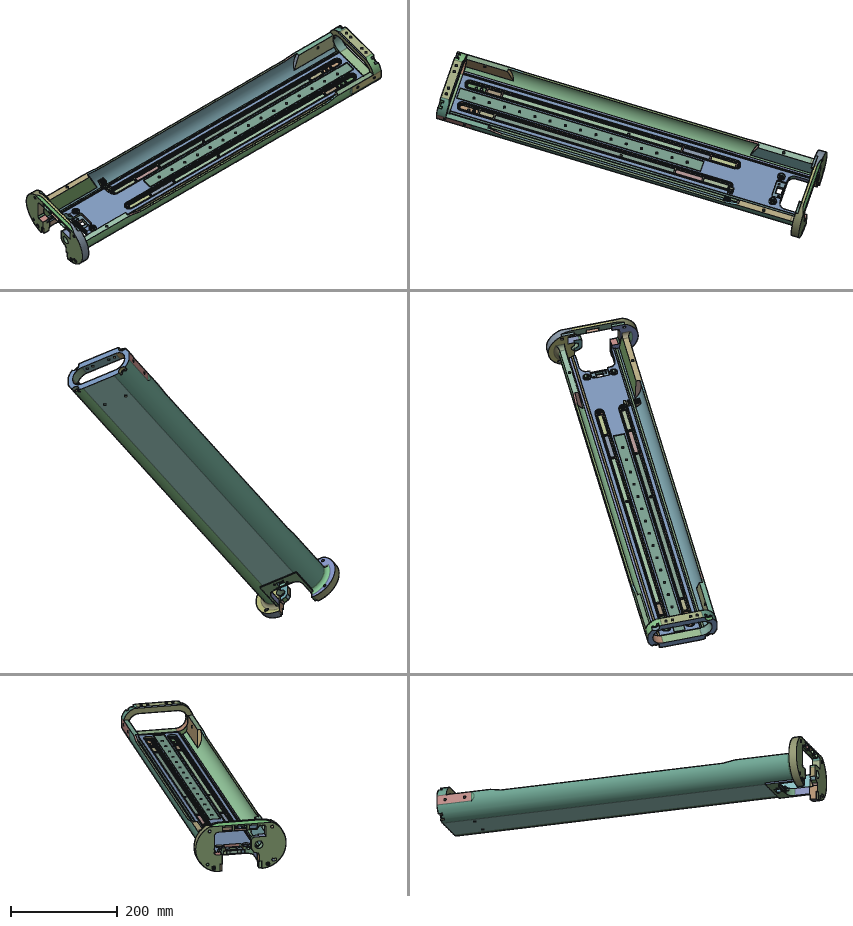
import cadquery as cq
import math

LENGTH = 720.0

FLANGE_RADIUS = 47.65
FLANGE_WIDTH = 173.85
FLANGE_THICK = 15.0
FLANGE_TOP_BEVEL = 4.7
FLANGE_STEP_Y = 10.0
FLANGE_STEP_Z = 42.5
LEG_GAP = 35.6
LEG_RELIEF_WIDTH = 4.5
LEG_RELIEF_TOP = -33.0
LEG_RELIEF_DEPTH = 3.0

TUBE_RADIUS = 34.0
TUBE_WIDTH = 136.0
WALL = 4.0
ROOT_FILLET = 8.0
RIM_END_Z = 9.6
RIM_MID_Z = 5.4
RIM_DROP_FRONT = (128.0, 152.0)
RIM_DROP_BACK = (592.0, 614.0)

FLOOR_Z = -22.5
FLOOR_HALF = 39.0
LEDGE_Z = -24.5
LEDGE_HALF = 42.5
CHANNEL_Z = -27.0
CHANNEL_HALF = 47.0
SLOT_X = 23.0
CUTOUT_END = 57.5
SEAT_Y = 70.5

HOOP_THICK = 18.5
HOOP_BACK = LENGTH - HOOP_THICK
HOOP_TOP = 33.5
HOOP_EDGE_CHAMFER = 2.0
OPENING_HALF = 57.0
OPENING_TOP = 20.5
SILL_Z = -20.8
OPENING_RADIUS = 20.0


def box(x0, x1, y0, y1, z0, z1):
    return cq.Workplane("XY").box(x1 - x0, y1 - y0, z1 - z0, centered=False).translate((x0, y0, z0))


def plate(outline, y0, y1):
    """Extrude an outline drawn in X and Z from y0 to y1."""
    return outline.extrude(-(y1 - y0)).translate((0, y0, 0))


def section():
    return cq.Workplane("XZ")


def stadium(width, radius, y0, y1):
    return plate(section().slot2D(width, 2 * radius), y0, y1)


def rod_y(x, z, diameter, y0, y1):
    return plate(section().center(x, z).circle(diameter / 2), y0, y1)


def rod_z(x, y, diameter, z0, z1):
    return cq.Workplane("XY").center(x, y).circle(diameter / 2).extrude(z1 - z0).translate((0, 0, z0))


def both_sides(shape):
    return shape.union(shape.mirror("YZ"))


def outer_body():
    """Solid flange and tube joined by a root fillet."""
    flange = stadium(FLANGE_WIDTH, FLANGE_RADIUS, 0, FLANGE_THICK)
    tube = stadium(TUBE_WIDTH, TUBE_RADIUS, FLANGE_THICK / 2, LENGTH)
    body = flange.union(tube)
    reach = TUBE_WIDTH / 2 + 1
    root = cq.selectors.BoxSelector(
        (-reach, FLANGE_THICK - 1, -TUBE_RADIUS - 1),
        (reach, FLANGE_THICK + 1, TUBE_RADIUS + 1),
        boundingbox=True,
    )
    return body.edges(root).fillet(ROOT_FILLET)


def space_above_rim():
    """Everything above the side rims, between flange and hoop."""
    arc_angle = math.radians(45)
    bend_y = FLANGE_THICK + ROOT_FILLET * (1 - math.cos(arc_angle))
    bend_z = RIM_END_Z + ROOT_FILLET * (1 - math.sin(arc_angle))
    ceiling = FLANGE_RADIUS + 1
    profile = (
        cq.Workplane("YZ")
        .moveTo(FLANGE_THICK, ceiling)
        .lineTo(FLANGE_THICK, RIM_END_Z + ROOT_FILLET)
        .threePointArc((bend_y, bend_z), (FLANGE_THICK + ROOT_FILLET, RIM_END_Z))
        .lineTo(RIM_DROP_FRONT[0], RIM_END_Z)
        .lineTo(RIM_DROP_FRONT[1], RIM_MID_Z)
        .lineTo(RIM_DROP_BACK[0], RIM_MID_Z)
        .lineTo(RIM_DROP_BACK[1], RIM_END_Z)
        .lineTo(HOOP_BACK, RIM_END_Z)
        .lineTo(HOOP_BACK, ceiling)
        .close()
    )
    return profile.extrude(FLANGE_WIDTH / 2, both=True)


def thick_wall(top_x, foot_x, y_start, y_end, foot_y_start, foot_y_end):
    """Wall thickening with a slanted inner face and ends sloping between rim and foot."""
    foot_z = CHANNEL_Z
    crest_z = RIM_END_Z + ROOT_FILLET
    outer_x = TUBE_WIDTH / 2
    face = (
        section()
        .moveTo(top_x, crest_z)
        .lineTo(outer_x, crest_z)
        .lineTo(outer_x, foot_z)
        .lineTo(foot_x, foot_z)
        .lineTo(top_x, RIM_END_Z)
        .close()
    )
    bar = plate(face, foot_y_start, foot_y_end)
    side_profile = (
        cq.Workplane("YZ")
        .moveTo(foot_y_start, foot_z)
        .lineTo(y_start, RIM_END_Z)
        .lineTo(y_start, crest_z)
        .lineTo(y_end, crest_z)
        .lineTo(y_end, RIM_END_Z)
        .lineTo(foot_y_end, foot_z)
        .close()
        .extrude(outer_x)
    )
    return both_sides(bar.intersect(side_profile))


def cavity():
    """Inside of the trough, above the stepped floor."""
    space = stadium(TUBE_WIDTH - 2 * WALL, TUBE_RADIUS - WALL, FLANGE_THICK, HOOP_BACK)
    for half, top in (
        (FLOOR_HALF, FLOOR_Z),
        (LEDGE_HALF, LEDGE_Z),
        (CHANNEL_HALF, CHANNEL_Z),
    ):
        space = space.cut(box(-half, half, 0, LENGTH, -TUBE_RADIUS, top))
    near_wall = thick_wall(
        top_x=55.3, foot_x=50.0, y_start=0, y_end=126, foot_y_start=0, foot_y_end=140
    )
    far_wall = thick_wall(
        top_x=57.0, foot_x=54.0, y_start=620, y_end=LENGTH, foot_y_start=605, foot_y_end=LENGTH
    )
    return space.cut(near_wall).cut(far_wall)


def hoop_opening():
    height = OPENING_TOP - SILL_Z
    centre_z = (OPENING_TOP + SILL_Z) / 2
    outline = section().center(0, centre_z).rect(2 * OPENING_HALF, height)
    opening = plate(outline, HOOP_BACK - 1, LENGTH + 1)
    return opening.edges("|Y").fillet(OPENING_RADIUS)


def hoop_details(body):
    """Flat top, side flats, screw holes and corner counterbores of the hoop."""
    flat_start = 651.5
    flat_runout = 6.0
    flat_half_height = 9.0
    flat_depth = TUBE_RADIUS - math.sqrt(TUBE_RADIUS**2 - flat_half_height**2)
    flat_x = TUBE_WIDTH / 2 - flat_depth
    hole_diameter = 4.5
    top_hole_y = 712.0
    body = body.cut(box(-FLANGE_WIDTH, FLANGE_WIDTH, HOOP_BACK - 1, LENGTH + 1, HOOP_TOP, TUBE_RADIUS + 1))
    back_edge = cq.selectors.BoxSelector(
        (-LEDGE_HALF, HOOP_BACK - 0.1, HOOP_TOP - 0.1),
        (LEDGE_HALF, HOOP_BACK + 0.1, HOOP_TOP + 0.1),
    )
    body = body.edges(back_edge).chamfer(HOOP_EDGE_CHAMFER)
    side = (
        cq.Workplane("XY", origin=(0, 0, -flat_half_height))
        .moveTo(flat_x, LENGTH + 1)
        .lineTo(flat_x, flat_start)
        .lineTo(TUBE_WIDTH / 2, flat_start - flat_runout)
        .lineTo(FLANGE_WIDTH / 2, flat_start - flat_runout)
        .lineTo(FLANGE_WIDTH / 2, LENGTH + 1)
        .close()
        .extrude(2 * flat_half_height)
    )
    body = body.cut(both_sides(side))
    for y in (664.7, 703.7):
        hole = cq.Workplane("YZ").center(y, 0).circle(hole_diameter / 2)
        hole = hole.extrude(FLANGE_WIDTH / 2, both=True)
        body = body.cut(hole)
    for x in (17.5, 30.0):
        body = body.cut(both_sides(rod_z(x, top_hole_y, hole_diameter, OPENING_TOP - 1, HOOP_TOP + 1)))
    return body


def corner_counterbores():
    """Open screw seats around a short stud at the four corners of the hoop."""
    seat_x = 52.0
    seat_z = 29.0
    seat_diameter = 16.0
    seat_depth = 7.5
    stud_diameter = 8.0
    stud_height = 3.5
    seat_floor = LENGTH - seat_depth
    seats = None
    for z in (seat_z, -seat_z):
        seat = rod_y(seat_x, z, seat_diameter, seat_floor, LENGTH + 1)
        seat = both_sides(seat.cut(rod_y(seat_x, z, stud_diameter, seat_floor, seat_floor + stud_height)))
        seats = seat if seats is None else seats.union(seat)
    return seats


def long_slot(x):
    """Stepped slot in the floor with cross ribs left standing in its lowest step."""
    y_start, y_end = 150.0, 692.5
    mouth_width = 17.5
    shelf_width = 13.0
    bottom_width = 8.5
    mouth_depth, shelf_depth, bottom_depth = 3.0, 5.0, 7.0
    rib_width = 3.0
    slot = None
    for width, depth in (
        (mouth_width, mouth_depth),
        (shelf_width, shelf_depth),
        (bottom_width, bottom_depth),
    ):
        length = y_end - y_start - (mouth_width - width)
        step = (
            cq.Workplane("XY", origin=(x, (y_start + y_end) / 2, FLOOR_Z - depth))
            .slot2D(length, width, 90)
            .extrude(depth + 1)
        )
        slot = step if slot is None else slot.union(step)
    half_rib = rib_width / 2
    half_bottom = bottom_width / 2
    for y in (158.0, 209.0, 264.5, 620.0, 650.0):
        rib = box(
            x - half_bottom,
            x + half_bottom,
            y - half_rib,
            y + half_rib,
            FLOOR_Z - bottom_depth,
            FLOOR_Z - shelf_depth,
        )
        slot = slot.cut(rib)
    through_hole = rod_z(x, 660.0, 5.0, -TUBE_RADIUS - 1, FLOOR_Z)
    slot = slot.union(through_hole)
    for y in (370.0, 670.0):
        blind_hole = rod_z(x - 1.0, y, 4.5, FLOOR_Z - bottom_depth - 2, FLOOR_Z)
        slot = slot.union(blind_hole)
    return slot


def centre_groove():
    """Shallow centre groove with its row of screw holes."""
    half_width = 10.5
    depth = 2.0
    y_start, y_end = 218.0, 698.0
    hole_start = 247.5
    hole_pitch = 30.0
    hole_count = 15
    hole_diameter = 4.0
    hole_depth = 8.0
    groove = box(-half_width, half_width, y_start, y_end, FLOOR_Z - depth, FLOOR_Z + 1)
    for i in range(hole_count):
        y = hole_start + i * hole_pitch
        groove = groove.union(rod_z(0, y, hole_diameter, FLOOR_Z - hole_depth, FLOOR_Z))
    return groove


def floor_cutout():
    """U-shaped cutout of the floor, running into the flange gap."""
    half_width = 34.6
    corner_radius = 13.0
    cutout = box(-half_width, half_width, -1, CUTOUT_END, -FLANGE_RADIUS, FLOOR_Z + 1)
    return cutout.edges("|Z and >Y").fillet(corner_radius)


def cutout_end_recess():
    """Stepped shallow recess in the end wall of the cutout, below the pocket."""
    bottom, top = -35.5, -29.0
    recess = None
    for half_width, depth in ((20.5, 1.0), (14.0, 2.0)):
        step = box(-half_width, half_width, CUTOUT_END - 1, CUTOUT_END + depth, bottom, top)
        recess = step if recess is None else recess.union(step)
    return recess


def cutout_end_holes():
    """Holes from the end wall of the cutout into the screw seats behind it."""
    x, z, diameter = 27.0, -26.0, 5.0
    return both_sides(rod_y(x, z, diameter, CUTOUT_END - diameter, SEAT_Y))


def latch_pocket():
    """Pocket open to the cutout, with a window and two screw holes in its bottom."""
    half_width = 17.0
    pocket_end = 76.0
    bottom_z = -28.0
    corner_radius = 3.0
    window_half = 7.0
    window_start, window_end = 60.5, 72.0
    hole_diameter = 3.5
    pocket = box(-half_width, half_width, CUTOUT_END - 1, pocket_end, bottom_z, FLOOR_Z + 1)
    pocket = pocket.edges("|Z and >Y").fillet(corner_radius)
    window = box(-window_half, window_half, window_start, window_end, -FLANGE_RADIUS, FLOOR_Z)
    pocket = pocket.union(window)
    for x, y in ((12.0, 70.5), (-12.0, 64.0)):
        pocket = pocket.union(rod_z(x, y, hole_diameter, -FLANGE_RADIUS, FLOOR_Z))
    return pocket


def screw_seats():
    """Stepped screw seats in the floor on both sides of the latch pocket."""
    seat_x = 26.0
    seats = None
    for diameter, depth in ((14.0, 3.0), (9.0, 6.0), (5.0, 10.0)):
        step = rod_z(seat_x, SEAT_Y, diameter, FLOOR_Z - depth, FLOOR_Z + 1)
        seats = step if seats is None else seats.union(step)
    return both_sides(seats)


def flange_opening():
    """Opening between the flange legs, with a lug for the cable bore on its right side."""
    left, right = -51.2, 48.5
    top = 31.0
    top_radius = 8.0
    relief_start, relief_top, relief_radius = 36.0, 38.0, 5.0
    relief_slope = 5.0
    left_ledge_z = -14.0
    left_chamfer = 3.0
    lug_left, lug_top = 20.5, 15.8
    lug_radius = 5.5
    lug_side_bottom = -8.0
    leg_bottom = -FLANGE_RADIUS - 1
    outline = (
        section()
        .moveTo(-LEG_GAP, leg_bottom)
        .lineTo(-LEG_GAP, left_ledge_z)
        .lineTo(left + left_chamfer, left_ledge_z)
        .lineTo(left, left_ledge_z + left_chamfer)
        .lineTo(left, top - top_radius)
        .radiusArc((left + top_radius, top), top_radius)
        .lineTo(relief_start - relief_slope, top)
        .lineTo(relief_start, relief_top)
        .lineTo(right - relief_radius, relief_top)
        .radiusArc((right, relief_top - relief_radius), relief_radius)
        .lineTo(right, lug_top)
        .lineTo(lug_left + lug_radius, lug_top)
        .radiusArc((lug_left, lug_top - lug_radius), -lug_radius)
        .lineTo(lug_left, lug_side_bottom)
        .lineTo(25.0, -14.0)
        .lineTo(33.0, -17.0)
        .lineTo(LEG_GAP, -21.0)
        .lineTo(LEG_GAP, leg_bottom)
        .close()
    )
    return plate(outline, -1, FLANGE_THICK + 1)


def flange_top_shaping():
    """Bevel along the front of the flange top and the step along its back."""
    top = FLANGE_RADIUS
    profile = (
        cq.Workplane("YZ")
        .moveTo(0, top - FLANGE_TOP_BEVEL)
        .lineTo(FLANGE_TOP_BEVEL, top)
        .lineTo(FLANGE_TOP_BEVEL, top + 1)
        .lineTo(-1, top + 1)
        .lineTo(-1, top - FLANGE_TOP_BEVEL)
        .close()
    )
    bevel = profile.extrude(FLANGE_WIDTH / 2, both=True)
    half = FLANGE_WIDTH / 2
    step = box(-half, half, FLANGE_STEP_Y, FLANGE_THICK + 1, FLANGE_STEP_Z, top + 1)
    bar_half = 36.0
    bar_step = box(-bar_half, bar_half, FLANGE_STEP_Y, FLANGE_THICK + 1, FLOOR_Z, top + 1)
    return bevel.union(step).union(bar_step)


def flange_top_windows():
    """Window through the flange top, with a blind pocket on either side of it."""
    bottom, top = 31.5, 40.0
    rib_inner, rib_outer = 12.0, 16.0
    left_end, right_end = -35.0, 33.0
    pocket_depth = 5.0
    window = box(-rib_inner, rib_inner, -1, FLANGE_THICK + 1, bottom, top)
    left_pocket = box(left_end, -rib_outer, -1, pocket_depth, bottom, top)
    right_pocket = box(rib_outer, right_end, -1, pocket_depth, bottom, top)
    return window.union(left_pocket).union(right_pocket)


def flange_holes():
    """Cable bore, upper screw holes, lower dowel hole and slot, and stepped foot holes."""
    through = FLANGE_THICK + 1
    bore_x, bore_diameter = 34.6, 15.0
    screw_x, screw_z, screw_diameter = 60.0, 34.0, 5.5
    dowel_x, dowel_z, dowel_diameter = 64.0, -31.8, 5.0
    dowel_slot_length = 9.0
    foot_x, foot_z = 52.0, -39.5
    holes = rod_y(bore_x, 0, bore_diameter, -1, through)
    holes = holes.union(both_sides(rod_y(screw_x, screw_z, screw_diameter, -1, through)))
    holes = holes.union(rod_y(-dowel_x, dowel_z, dowel_diameter, -1, through))
    dowel_slot = section().center(dowel_x, dowel_z).slot2D(dowel_slot_length, dowel_diameter)
    holes = holes.union(plate(dowel_slot, -1, through))
    for diameter, depth in ((7.0, 4.0), (4.0, 10.0)):
        holes = holes.union(both_sides(rod_y(foot_x, foot_z, diameter, -1, depth)))
    return holes


def leg_reliefs():
    """Shallow reliefs along the inner edges of the two flange legs."""
    relief = box(
        LEG_GAP - 1,
        LEG_GAP + LEG_RELIEF_WIDTH,
        -1,
        LEG_RELIEF_DEPTH,
        -FLANGE_RADIUS - 1,
        LEG_RELIEF_TOP,
    )
    return both_sides(relief)


def rim_holes():
    """Blind screw holes in the thick rims next to the flange."""
    x, y = 61.0, 77.0
    diameter, depth = 4.5, 12.0
    return both_sides(rod_z(x, y, diameter, RIM_END_Z - depth, RIM_END_Z + 1))


def belly_plate():
    """Raised plate under the tube, next to the flange."""
    half_width = 40.0
    y_end = 78.0
    bottom_z = -36.5
    return box(-half_width, half_width, FLANGE_THICK - 1, y_end, bottom_z, CHANNEL_Z - 3)


def clip_block():
    """Grooved block on the left edge of the floor."""
    top_z = -15.5
    groove_floor_z = -18.5
    y_start, y_end = 147.0, 156.0
    block = box(-36.5, -26.0, y_start, y_end, FLOOR_Z - 1, top_z)
    groove = box(-33.5, -30.0, y_start - 1, y_end + 1, groove_floor_z, top_z + 1)
    return block.cut(groove)


def wall_ribs():
    """Three short ribs on the left inner wall, beside the clip block."""
    rib_width = 2.5
    rib_top_z = -17.0
    first_y = 147.0
    pitch = 4.5
    shell = stadium(TUBE_WIDTH - WALL, TUBE_RADIUS - WALL / 2, 140, 170)
    ribs = None
    for i in range(3):
        y = first_y + i * pitch
        rib = box(-57.0, -47.0, y, y + rib_width, -TUBE_RADIUS, rib_top_z).intersect(shell)
        ribs = rib if ribs is None else ribs.union(rib)
    return ribs


body = outer_body().cut(space_above_rim()).cut(cavity()).cut(hoop_opening())
body = body.union(belly_plate()).union(clip_block()).union(wall_ribs())
body = hoop_details(body).cut(corner_counterbores())
flange_cuts = (
    flange_opening(),
    flange_top_shaping(),
    flange_top_windows(),
    flange_holes(),
    leg_reliefs(),
)
for flange_cut in flange_cuts:
    body = body.cut(flange_cut)
floor_cuts = (
    floor_cutout(),
    cutout_end_recess(),
    cutout_end_holes(),
    latch_pocket(),
    screw_seats(),
    centre_groove(),
    rim_holes(),
)
for floor_cut in floor_cuts:
    body = body.cut(floor_cut)
for slot_x in (-SLOT_X, SLOT_X):
    body = body.cut(long_slot(slot_x))
result = body